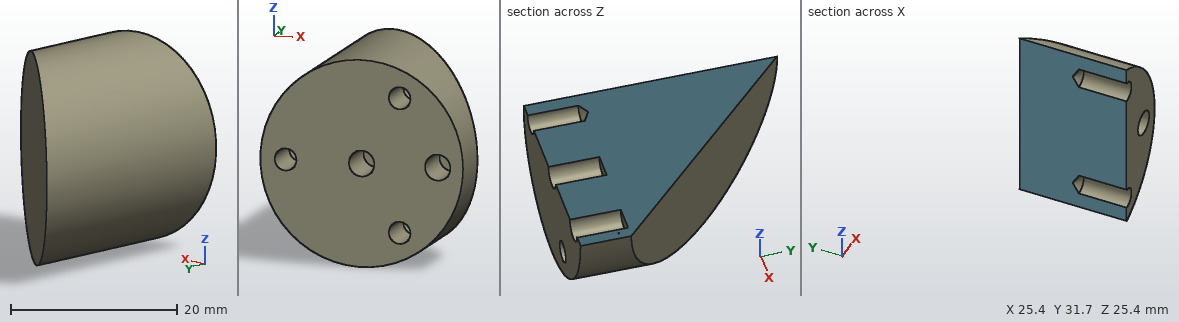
import cadquery as cq
import math

DIAMETER = 25.4
LONG_SIDE = 31.75
SLANT_ANGLE = 45.0
HOLE_CIRCLE_RADIUS = 9.525
PIN_HOLE_DIAMETER = 3.175
PIN_HOLE_DEPTH = 6.35
SCREW_HOLE_DIAMETER = 2.705
SCREW_HOLE_DEPTH = 6.35
SCREW_HOLE_ANGLES = (60.0, 180.0, 300.0)
DRILL_POINT_ANGLE = 118.0

RADIUS = DIAMETER / 2
SHORT_SIDE = LONG_SIDE - DIAMETER * math.tan(math.radians(SLANT_ANGLE))


def slanted_cylinder():
    """Cylinder along Y with a flat base at Y = 0 and a slanted far end."""
    slanted_block = (
        cq.Workplane("XY")
        .moveTo(-RADIUS, 0)
        .lineTo(RADIUS, 0)
        .lineTo(RADIUS, SHORT_SIDE)
        .lineTo(-RADIUS, LONG_SIDE)
        .close()
        .extrude(RADIUS, both=True)
    )
    cylinder = cq.Workplane("XZ").circle(RADIUS).extrude(-LONG_SIDE)
    return cylinder.intersect(slanted_block)


def pin_hole(x, z):
    """Flat-bottomed hole cutter entering the base."""
    return cq.Workplane("XZ").center(x, z).circle(PIN_HOLE_DIAMETER / 2).extrude(-PIN_HOLE_DEPTH)


def screw_hole(x, z):
    """Drilled hole cutter entering the base, ending in a conical drill point."""
    radius = SCREW_HOLE_DIAMETER / 2
    point_height = radius / math.tan(math.radians(DRILL_POINT_ANGLE / 2))
    return (
        cq.Workplane("XY")
        .lineTo(radius, 0)
        .lineTo(radius, SCREW_HOLE_DEPTH)
        .lineTo(0, SCREW_HOLE_DEPTH + point_height)
        .close()
        .revolve(360, (0, 0, 0), (0, 1, 0))
        .translate((x, 0, z))
    )


result = slanted_cylinder()

for pin_x in (0, HOLE_CIRCLE_RADIUS):
    result = result.cut(pin_hole(pin_x, 0))

for angle in SCREW_HOLE_ANGLES:
    screw_x = HOLE_CIRCLE_RADIUS * math.cos(math.radians(angle))
    screw_z = HOLE_CIRCLE_RADIUS * math.sin(math.radians(angle))
    result = result.cut(screw_hole(screw_x, screw_z))